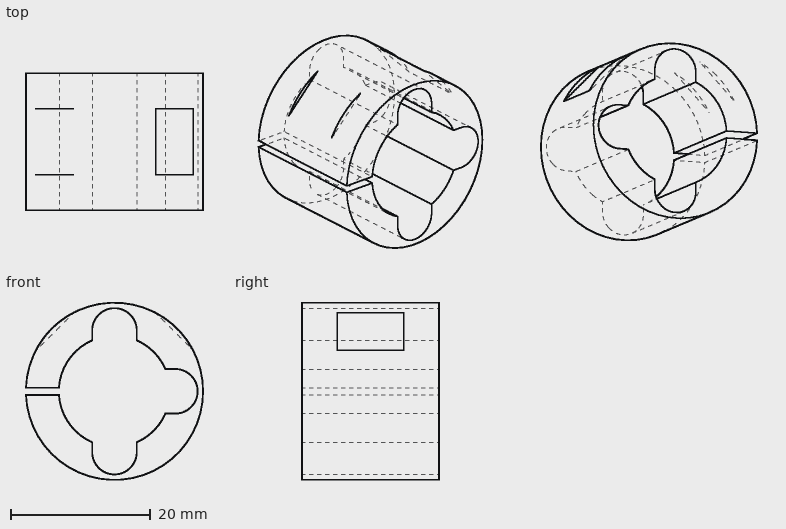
import cadquery as cq
import math

outer_radius = 12.7
length = 19.63
bore_radius = 7.95
lobe_radius = 3.18
lobe_reach = 11.89
slit_width = 1.02
flat_length = 9.5
flat_distance = 12.12
flat_angles = (45, 135)
lobe_angles = (0, 90, 270)

lobe_center = lobe_reach - lobe_radius


def axial_plane():
    """XZ sketch plane on the +Y end face; extrusions run towards -Y."""
    return cq.Workplane("XZ", origin=(0, length / 2, 0))


def lobe(angle):
    """Round-ended channel running from the axis outwards."""
    channel = axial_plane().center(lobe_center / 2, 0).rect(lobe_center, 2 * lobe_radius).extrude(length)
    rounded_end = axial_plane().center(lobe_center, 0).circle(lobe_radius).extrude(length)
    return channel.union(rounded_end).rotate((0, 0, 0), (0, 1, 0), -angle)


def flat_cutter(angle):
    """Block that removes the rim outside one flat."""
    chord = 2 * math.sqrt(outer_radius**2 - flat_distance**2)
    block = cq.Workplane("XY").box(outer_radius, flat_length, chord)
    block = block.translate((flat_distance + outer_radius / 2, 0, 0))
    return block.rotate((0, 0, 0), (0, 1, 0), -angle)


result = axial_plane().circle(outer_radius).circle(bore_radius).extrude(length)

for angle in lobe_angles:
    result = result.cut(lobe(angle))

slit = cq.Workplane("XY").box(outer_radius, length, slit_width).translate((-outer_radius / 2, 0, 0))
result = result.cut(slit)

for angle in flat_angles:
    result = result.cut(flat_cutter(angle))